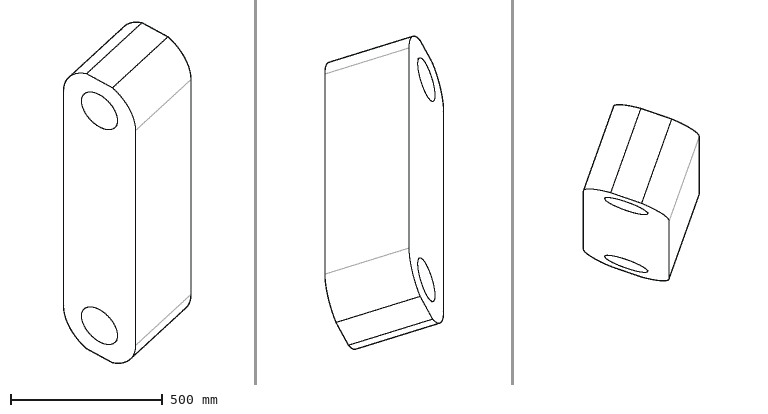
import cadquery as cq

width = 300.0
depth = 300.0
height = 1280.0
hole_spacing = 1000.0
hole_diameter = 150.0


def link_body():
    """Bar with fully rounded ends, each trimmed to a small flat."""
    rounded_bar = (
        cq.Workplane("XZ")
        .slot2D(hole_spacing + width, width, 90)
        .extrude(depth / 2, both=True)
    )
    trim_box = cq.Workplane("XY").box(width, depth, height)
    return rounded_bar.intersect(trim_box)


def pin_holes():
    """Two through holes concentric with the rounded ends."""
    return (
        cq.Workplane("XZ")
        .pushPoints([(0, -hole_spacing / 2), (0, hole_spacing / 2)])
        .circle(hole_diameter / 2)
        .extrude(depth / 2, both=True)
    )


result = link_body().cut(pin_holes())